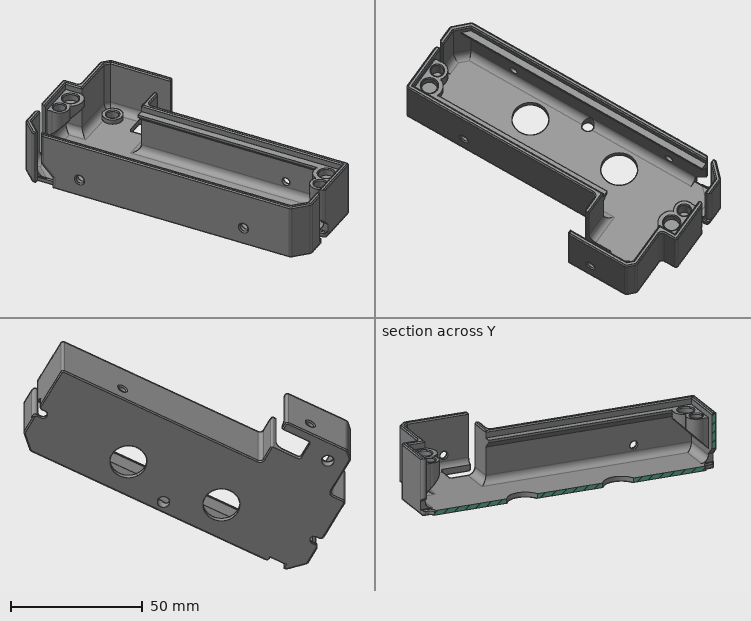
import cadquery as cq
import math

LENGTH = 122.0
BODY_DEPTH = 37.0
TOTAL_DEPTH = 57.0
HEIGHT = 23.0
WALL = 2.0
FLOOR = 2.0
FLOOR_FILLET = 3.0
EDGE_CHAMFER = 0.5
CENTRE_X = LENGTH / 2
PICK_MARGIN = 0.1

FRONT_CHAMFER = 6.0
CHAMFER_ROUND = 1.5
CORNER_ROUND = 1.0
INSIDE_CORNER_ROUND = 1.5

TAB_LEFT = 7.0
TAB_RIGHT = 36.3
TAB_CHAMFER = 3.0
OPENING_LEFT = 24.0
OPENING_FRONT = 45.0
OPENING_REAR = 53.6
OPENING_ROUND = 1.0

NOTCH_CENTRE_Y = 16.5
NOTCH_WIDTH = 3.3
NOTCH_REACH = 4.4
NOTCH_REAR = NOTCH_CENTRE_Y + NOTCH_WIDTH / 2
NOTCH_FRONT = NOTCH_CENTRE_Y - NOTCH_WIDTH / 2
SIDE_SLOT_FRONT = 13.8
LEFT_SLOT_REAR = NOTCH_REAR
RIGHT_SLOT_REAR = 16.0
SLOT_FOOT_REAR = 19.5
SLOT_SHOULDER = 5.5
SLOT_ROUND = 1.5

FRONT_SLOT_LEFT = 7.0
FRONT_SLOT_RIGHT = 9.2
FRONT_SLOT_FOOT_RIGHT = 14.0
FRONT_SLOT_SHOULDER = 4.6
FRONT_SLOT_REACH = 2.1

LEDGE_TOP = 20.2
LEDGE_REACH = 4.7
LEDGE_NOSE = 1.0

BOSS_TOP = LEDGE_TOP
POCKET_DIAMETER = 6.15
POCKET_DEPTH = 3.0
POCKET_X = 6.4
POCKET_Y = 30.5
POCKET_BOSS_RADIUS = 5.2
INSERT_DIAMETER = 4.7
INSERT_DEPTH = 6.0
INSERT_X = 5.35
INSERT_Y = 23.35
INSERT_BOSS_RADIUS = 4.0
HOLE_CHAMFER = 0.4
BOSS_UNDERSIDE = 5.7

TAB_BOSS_DIAMETER = 8.0
TAB_BOSS_X = 14.5
TAB_BOSS_Y = 49.5
TAB_BOSS_TOP = 3.9

FLOOR_HOLE_DIAMETER = 14.0
FLOOR_HOLE_OFFSET = 20.0
FLOOR_HOLE_Y = 13.5
SMALL_FLOOR_HOLE_Y = 4.3
WALL_HOLE_DIAMETER = 3.3
WALL_HOLE_OFFSET = 35.0
WALL_HOLE_Z = 7.4
WALL_HOLE_CHAMFER = 0.5


def box(x0, x1, y0, y1, z0, z1):
    """Axis-aligned block between two opposite corners."""
    return cq.Workplane("XY").box(x1 - x0, y1 - y0, z1 - z0, centered=False).translate((x0, y0, z0))


def plan_outline():
    """Closed outline of the case in plan: a long body with a tab at its rear left."""
    return cq.Workplane("XY").polyline(
        [
            (FRONT_CHAMFER, 0),
            (LENGTH - FRONT_CHAMFER, 0),
            (LENGTH, FRONT_CHAMFER),
            (LENGTH, BODY_DEPTH),
            (TAB_RIGHT, BODY_DEPTH),
            (TAB_RIGHT, TOTAL_DEPTH),
            (TAB_LEFT + TAB_CHAMFER, TOTAL_DEPTH),
            (TAB_LEFT, TOTAL_DEPTH - TAB_CHAMFER),
            (TAB_LEFT, BODY_DEPTH),
            (0, BODY_DEPTH),
            (0, FRONT_CHAMFER),
        ]
    ).close()


def round_upright(solid, points, radius):
    """Fillet the upright edges standing at the given plan points."""
    for x, y in points:
        low = (x - PICK_MARGIN, y - PICK_MARGIN, 0)
        high = (x + PICK_MARGIN, y + PICK_MARGIN, HEIGHT)
        solid = solid.edges("|Z").edges(cq.selectors.BoxSelector(low, high)).fillet(radius)
    return solid


def outer_block():
    """Solid block with rounded upright corners and chamfered rims."""
    block = plan_outline().extrude(HEIGHT)
    obtuse = [
        (FRONT_CHAMFER, 0),
        (LENGTH - FRONT_CHAMFER, 0),
        (0, FRONT_CHAMFER),
        (LENGTH, FRONT_CHAMFER),
        (TAB_LEFT, TOTAL_DEPTH - TAB_CHAMFER),
        (TAB_LEFT + TAB_CHAMFER, TOTAL_DEPTH),
    ]
    block = round_upright(block, obtuse, CHAMFER_ROUND)
    square = [(0, BODY_DEPTH), (LENGTH, BODY_DEPTH), (TAB_RIGHT, TOTAL_DEPTH)]
    block = round_upright(block, square, CORNER_ROUND)
    inside = [(TAB_LEFT, BODY_DEPTH), (TAB_RIGHT, BODY_DEPTH)]
    block = round_upright(block, inside, INSIDE_CORNER_ROUND)
    return block.faces("|Z").edges().chamfer(EDGE_CHAMFER)


def cavity():
    """Inside of the case, sharp in plan and rounded where it meets the floor."""
    inside = plan_outline().offset2D(-WALL, "intersection").extrude(HEIGHT - FLOOR)
    inside = inside.translate((0, 0, FLOOR))
    inside = inside.faces("<Z").edges().fillet(FLOOR_FILLET)
    flare = plan_outline().offset2D(EDGE_CHAMFER - WALL, "intersection").extrude(WALL)
    flare = flare.faces("<Z").chamfer(EDGE_CHAMFER)
    return inside.union(flare.translate((0, 0, HEIGHT - EDGE_CHAMFER)))


def mirrored(solid):
    """The same solid at the opposite end of the case."""
    return solid.mirror("YZ", (CENTRE_X, 0, 0))


def ledge(x0, x1, wall_y, inward):
    """Lid rail along a long wall with a 45 degree underside; inward is +1 or -1 along Y."""
    overhang = LEDGE_REACH - WALL / 2
    root_y = wall_y + inward * WALL / 2
    tip_y = wall_y + inward * LEDGE_REACH
    profile = [
        (root_y, LEDGE_TOP),
        (tip_y, LEDGE_TOP),
        (tip_y, LEDGE_TOP - LEDGE_NOSE),
        (root_y, LEDGE_TOP - LEDGE_NOSE - overhang),
    ]
    return cq.Workplane("YZ", origin=(x0, 0, 0)).polyline(profile).close().extrude(x1 - x0)


def cylinder(diameter, x, y, z0, z1):
    """Upright cylinder centred at (x, y) between two heights."""
    return cq.Workplane("XY", origin=(x, y, z0)).circle(diameter / 2).extrude(z1 - z0)


def chamfered_drill(diameter, x, y, z0, z1):
    """Round cutter from z0 up to a chamfered mouth at z1."""
    radius = diameter / 2
    start = cq.Vector(x, y, z1 - HOLE_CHAMFER)
    mouth = cq.Solid.makeCone(radius, radius + HOLE_CHAMFER, HOLE_CHAMFER, start)
    return cylinder(diameter, x, y, z0, z1).union(cq.Workplane(mouth))


def corner_boss():
    """Left rear boss for two blind holes, with an underside rising at 45 degrees from the end wall."""
    root = WALL / 2
    rear = BODY_DEPTH - root
    boss = box(root, POCKET_X, POCKET_Y, rear, 0, BOSS_TOP)
    boss = boss.union(box(root, INSERT_X, SLOT_FOOT_REAR, POCKET_Y, 0, BOSS_TOP))
    boss = boss.union(cylinder(2 * POCKET_BOSS_RADIUS, POCKET_X, POCKET_Y, 0, BOSS_TOP))
    boss = boss.union(cylinder(2 * INSERT_BOSS_RADIUS, INSERT_X, INSERT_Y, 0, BOSS_TOP))
    boss = boss.intersect(box(root, CENTRE_X, 0, rear, 0, BOSS_TOP))
    below = [(0, 0), (0, BOSS_UNDERSIDE), (HEIGHT, BOSS_UNDERSIDE + HEIGHT), (HEIGHT, 0)]
    wedge = cq.Workplane("XZ").polyline(below).close().extrude(-BODY_DEPTH)
    return boss.cut(wedge)


def corner_boss_holes():
    """Pocket and insert hole of the left rear boss, opened at its top."""
    pocket = chamfered_drill(POCKET_DIAMETER, POCKET_X, POCKET_Y, BOSS_TOP - POCKET_DEPTH, BOSS_TOP)
    insert = chamfered_drill(INSERT_DIAMETER, INSERT_X, INSERT_Y, BOSS_TOP - INSERT_DEPTH, BOSS_TOP)
    return pocket.union(insert)


def mouth_round(y, toward, z0, z1):
    """Cutter rounding the outer edge of the left end wall at y; toward is +1 or -1 along Y."""
    edge = sorted([y, y + toward * SLOT_ROUND])
    corner = box(0, SLOT_ROUND, edge[0], edge[1], z0, z1)
    return corner.cut(cylinder(2 * SLOT_ROUND, SLOT_ROUND, y + toward * SLOT_ROUND, z0, z1))


def side_slot(rear):
    """Left end wall slot from floor to rim, clear of the floor fillet, with rounded outer edges."""
    slot = box(0, WALL + FLOOR_FILLET, SIDE_SLOT_FRONT, rear, FLOOR, HEIGHT)
    front_round = mouth_round(SIDE_SLOT_FRONT, -1, FLOOR, HEIGHT)
    rear_round = mouth_round(rear, 1, FLOOR, HEIGHT)
    return slot.union(front_round).union(rear_round).union(side_slot_foot())


def side_slot_foot():
    """Rearward widening at the foot of the left slot, closing upward at 45 degrees."""
    rise = SLOT_FOOT_REAR - SIDE_SLOT_FRONT
    profile = [
        (SIDE_SLOT_FRONT, FLOOR),
        (SLOT_FOOT_REAR, FLOOR),
        (SLOT_FOOT_REAR, SLOT_SHOULDER),
        (SIDE_SLOT_FRONT, SLOT_SHOULDER + rise),
    ]
    return cq.Workplane("YZ").polyline(profile).close().extrude(WALL + FLOOR_FILLET)


def floor_notch():
    """Left floor notch with a round end and a chamfered upper edge."""
    length = 2 * NOTCH_REACH
    notch = cq.Workplane("XY").slot2D(length, NOTCH_WIDTH).extrude(FLOOR)
    widening = 2 * EDGE_CHAMFER
    flare = cq.Workplane("XY").slot2D(length + widening, NOTCH_WIDTH + widening).extrude(FLOOR)
    flare = flare.faces("<Z").chamfer(EDGE_CHAMFER).translate((0, 0, FLOOR - EDGE_CHAMFER))
    notch = notch.union(flare).translate((0, NOTCH_CENTRE_Y, 0))
    rounds = mouth_round(NOTCH_FRONT, -1, 0, FLOOR).union(mouth_round(NOTCH_REAR, 1, 0, FLOOR))
    return notch.union(rounds)


def front_slot(reach):
    """Front wall slot reaching inward to y = reach, widening to the right at 45 degrees at its foot."""
    shoulder_rise = FRONT_SLOT_FOOT_RIGHT - FRONT_SLOT_RIGHT
    profile = [
        (FRONT_SLOT_LEFT, 0),
        (FRONT_SLOT_FOOT_RIGHT, 0),
        (FRONT_SLOT_FOOT_RIGHT, FRONT_SLOT_SHOULDER),
        (FRONT_SLOT_RIGHT, FRONT_SLOT_SHOULDER + shoulder_rise),
        (FRONT_SLOT_RIGHT, HEIGHT),
        (FRONT_SLOT_LEFT, HEIGHT),
    ]
    return cq.Workplane("XZ").polyline(profile).close().extrude(-reach)


def front_slot_clearance():
    """Space behind the front slot, bounded by the floor fillet of the corner chamfer carried straight on."""
    depth = WALL + FLOOR_FILLET
    corner_sum = FRONT_CHAMFER + WALL * math.sqrt(2)
    plan = [(corner_sum, 0), (CENTRE_X, 0), (CENTRE_X, depth), (corner_sum - depth, depth)]
    space = cq.Workplane("XY", origin=(0, 0, FLOOR)).polyline(plan).close().extrude(HEIGHT - FLOOR)
    space = space.faces("<Z").edges("<(1,1,0)").fillet(FLOOR_FILLET)
    return space.intersect(front_slot(depth))


def front_slot_floor_chamfer():
    """Chamfer along the floor edge at the back of the front slot."""
    start = FRONT_SLOT_REACH
    profile = [(start, FLOOR - EDGE_CHAMFER), (start, FLOOR), (start + EDGE_CHAMFER, FLOOR)]
    strip = cq.Workplane("YZ", origin=(FRONT_SLOT_LEFT, 0, 0)).polyline(profile).close()
    return strip.extrude(FRONT_SLOT_FOOT_RIGHT - FRONT_SLOT_LEFT)


def tab_opening():
    """Opening at the right of the tab: through the floor, and above it back to the rear wall."""
    floor_cut = box(OPENING_LEFT, TAB_RIGHT, OPENING_FRONT, OPENING_REAR, 0, HEIGHT)
    floor_cut = floor_cut.edges("|Z and <X").fillet(OPENING_ROUND)
    inner_rear = TOTAL_DEPTH - WALL
    left = TAB_RIGHT - WALL - FLOOR_FILLET
    end_cut = box(left, TAB_RIGHT, OPENING_FRONT, inner_rear, FLOOR, HEIGHT)
    end_cut = end_cut.edges(">Y and <Z").fillet(FLOOR_FILLET)
    lip = [(inner_rear, HEIGHT), (inner_rear, HEIGHT - EDGE_CHAMFER), (inner_rear + EDGE_CHAMFER, HEIGHT)]
    lip_cut = cq.Workplane("YZ", origin=(left, 0, 0)).polyline(lip).close().extrude(TAB_RIGHT - left)
    return floor_cut.union(end_cut).union(lip_cut)


def wall_hole(x, y, outward):
    """Cutter through a long wall at y, chamfered on its outer face; outward is +1 or -1 along Y."""
    radius = WALL_HOLE_DIAMETER / 2
    axis = cq.Vector(0, -outward, 0)
    start = cq.Vector(x, y, WALL_HOLE_Z)
    bore = cq.Solid.makeCylinder(radius, 2 * WALL, start, axis)
    mouth = cq.Solid.makeCone(radius + WALL_HOLE_CHAMFER, radius, WALL_HOLE_CHAMFER, start, axis)
    return cq.Workplane(bore).union(cq.Workplane(mouth))


case = outer_block().cut(cavity())

middle_of_walls = plan_outline().offset2D(-WALL / 2, "intersection").extrude(HEIGHT)
case = case.union(ledge(FRONT_SLOT_RIGHT, LENGTH, 0, 1).intersect(middle_of_walls))
case = case.union(ledge(TAB_RIGHT - WALL, LENGTH - WALL, BODY_DEPTH, -1))
boss = corner_boss()
case = case.union(boss).union(mirrored(boss))
case = case.union(cylinder(TAB_BOSS_DIAMETER, TAB_BOSS_X, TAB_BOSS_Y, FLOOR / 2, TAB_BOSS_TOP))

holes = corner_boss_holes()
case = case.cut(holes).cut(mirrored(holes))
case = case.cut(chamfered_drill(INSERT_DIAMETER, TAB_BOSS_X, TAB_BOSS_Y, 0, TAB_BOSS_TOP))
for side in (-1, 1):
    hole_x = CENTRE_X + side * FLOOR_HOLE_OFFSET
    case = case.cut(cylinder(FLOOR_HOLE_DIAMETER, hole_x, FLOOR_HOLE_Y, 0, HEIGHT))
case = case.cut(cylinder(INSERT_DIAMETER, CENTRE_X, SMALL_FLOOR_HOLE_Y, 0, FLOOR + FLOOR_FILLET))
left_hole_x = CENTRE_X - WALL_HOLE_OFFSET
right_hole_x = CENTRE_X + WALL_HOLE_OFFSET
for hole_x, rear_y in ((left_hole_x, TOTAL_DEPTH), (right_hole_x, BODY_DEPTH)):
    case = case.cut(wall_hole(hole_x, 0, -1)).cut(wall_hole(hole_x, rear_y, 1))

case = case.cut(tab_opening())
case = round_upright(case, [(TAB_RIGHT, OPENING_FRONT)], OPENING_ROUND)

notch = floor_notch()
case = case.cut(notch).cut(mirrored(notch))
case = case.cut(side_slot(LEFT_SLOT_REAR)).cut(mirrored(side_slot(RIGHT_SLOT_REAR)))

case = case.cut(front_slot(FRONT_SLOT_REACH)).cut(front_slot_clearance())
case = case.cut(front_slot_floor_chamfer())
slot_side = cq.selectors.BoxSelector(
    (FRONT_SLOT_RIGHT - PICK_MARGIN, -PICK_MARGIN, 0),
    (FRONT_SLOT_FOOT_RIGHT + PICK_MARGIN, PICK_MARGIN, HEIGHT),
)
case = case.edges(slot_side).edges("not |X").fillet(SLOT_ROUND)

result = case